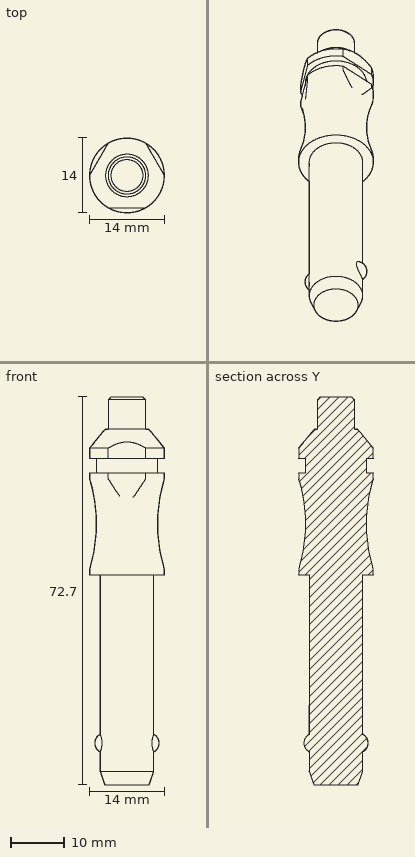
import cadquery as cq
import math

total_length = 72.7

shank_radius = 5.0
tip_radius = 4.15
tip_height = 2.55

ball_radius = 1.9
ball_height = 7.85
ball_reach = 6.0

handle_diameter = 14.0
handle_radius = handle_diameter / 2
waist_radius = 5.75
handle_bottom = 39.3
handle_top = 58.45
rim_height = 1.1
waist_height = (handle_bottom + handle_top) / 2

head_bottom = 61.15
cone_bottom = 63.1
cone_break = 65.6
cone_break_radius = 5.0
head_top = 66.7
head_rim = 66.5
head_rim_radius = 4.2
head_top_radius = 4.0

button_radius = 3.5
button_chamfer = 0.5

flat_count = 3
first_flat_angle = 30.0
flat_half_angle = 30.0
flat_distance = handle_radius * math.cos(math.radians(flat_half_angle))


def make_handle():
    """Revolve the waisted grip, the groove and the conical head around Z."""
    curve_bottom = handle_bottom + rim_height
    curve_top = handle_top - rim_height
    return (
        cq.Workplane("XZ")
        .moveTo(0, handle_bottom)
        .lineTo(handle_radius, handle_bottom)
        .lineTo(handle_radius, curve_bottom)
        .threePointArc((waist_radius, waist_height), (handle_radius, curve_top))
        .lineTo(handle_radius, handle_top)
        .lineTo(waist_radius, handle_top)
        .lineTo(waist_radius, head_bottom)
        .lineTo(handle_radius, head_bottom)
        .lineTo(handle_radius, cone_bottom)
        .lineTo(cone_break_radius, cone_break)
        .lineTo(head_rim_radius, head_rim)
        .lineTo(head_top_radius, head_top)
        .lineTo(0, head_top)
        .close()
        .revolve(360, (0, 0, 0), (0, 1, 0))
    )


def make_flat_cutter(angle):
    """Block above the waist that removes everything beyond one flat of the handle."""
    depth = handle_radius
    width = 2 * handle_radius
    return (
        cq.Workplane("XY", origin=(0, 0, waist_height))
        .center(flat_distance + depth / 2, 0)
        .rect(depth, width)
        .extrude(total_length - waist_height)
        .rotate((0, 0, 0), (0, 0, 1), angle)
    )


def make_shank():
    """Straight shank with a conical lead-in at the bottom."""
    return (
        cq.Workplane("XZ")
        .lineTo(tip_radius, 0)
        .lineTo(shank_radius, tip_height)
        .lineTo(shank_radius, handle_bottom)
        .lineTo(0, handle_bottom)
        .close()
        .revolve(360, (0, 0, 0), (0, 1, 0))
    )


def make_button():
    """Chamfered push button on top of the head."""
    return (
        cq.Workplane("XY", origin=(0, 0, head_top))
        .circle(button_radius)
        .extrude(total_length - head_top)
        .faces(">Z")
        .chamfer(button_chamfer)
    )


def make_ball(side):
    """Locking ball on the +X (side = 1) or -X (side = -1) face of the shank."""
    center_x = side * (ball_reach - ball_radius)
    return cq.Workplane("XY").sphere(ball_radius).translate((center_x, 0, ball_height))


handle = make_handle()
for index in range(flat_count):
    flat_angle = first_flat_angle + index * 360 / flat_count
    handle = handle.cut(make_flat_cutter(flat_angle))

result = handle.union(make_shank()).union(make_button())
for side in (-1, 1):
    result = result.union(make_ball(side))